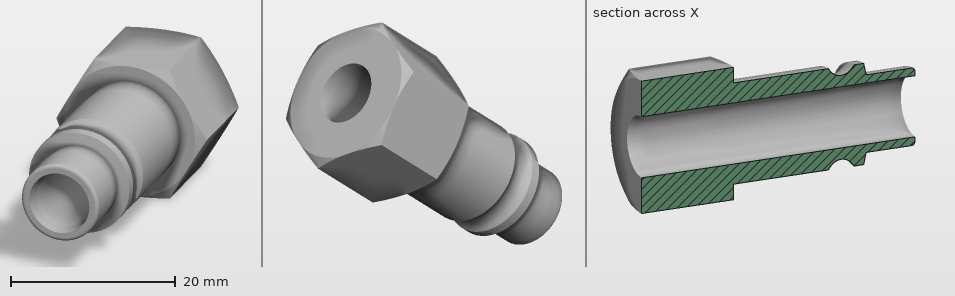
import cadquery as cq
import math

total_length = 37.0
across_flats = 17.0
hex_length = 12.5
hex_chamfer_angle = 30.0
body_radius = 6.5
nose_radius = 5.0
nose_fillet = 0.48
bore_radius = 3.9

flange_start = 6.6
flange_rim_start = 6.92
flange_rim_end = 8.25
groove_start = 8.5
groove_middle = 10.0
groove_edge_radius = 6.18
groove_waist_radius = 5.4

groove_end = 2 * groove_middle - groove_start
body_start = 2 * groove_middle - flange_rim_end
hex_start = total_length - hex_length
across_corners = across_flats / math.cos(math.radians(30))
chamfer_width = (across_corners - across_flats) / 2
chamfer_depth = chamfer_width * math.tan(math.radians(hex_chamfer_angle))


def make_stem():
    """Revolved nose, locking flange, groove and cylindrical body."""
    return (
        cq.Workplane("XY")
        .lineTo(nose_radius - nose_fillet, 0)
        .radiusArc((nose_radius, nose_fillet), -nose_fillet)
        .lineTo(nose_radius, flange_start)
        .lineTo(body_radius, flange_rim_start)
        .lineTo(body_radius, flange_rim_end)
        .lineTo(groove_edge_radius, groove_start)
        .threePointArc((groove_waist_radius, groove_middle), (groove_edge_radius, groove_end))
        .lineTo(body_radius, body_start)
        .lineTo(body_radius, hex_start)
        .lineTo(0, hex_start)
        .close()
        .revolve(360, (0, 0, 0), (0, 1, 0))
    )


def make_hex():
    """Hexagon with corners on X and conically chamfered at both ends."""
    prism = (
        cq.Workplane("XZ", origin=(0, total_length, 0))
        .polygon(6, across_corners)
        .extrude(hex_length)
    )
    flat_radius = across_flats / 2
    corner_radius = across_corners / 2
    chamfer_envelope = (
        cq.Workplane("XY")
        .moveTo(0, hex_start)
        .lineTo(flat_radius, hex_start)
        .lineTo(corner_radius, hex_start + chamfer_depth)
        .lineTo(corner_radius, total_length - chamfer_depth)
        .lineTo(flat_radius, total_length)
        .lineTo(0, total_length)
        .close()
        .revolve(360, (0, 0, 0), (0, 1, 0))
    )
    return prism.intersect(chamfer_envelope)


bore = cq.Workplane("XZ", origin=(0, total_length, 0)).circle(bore_radius).extrude(total_length)

result = make_stem().union(make_hex()).cut(bore)